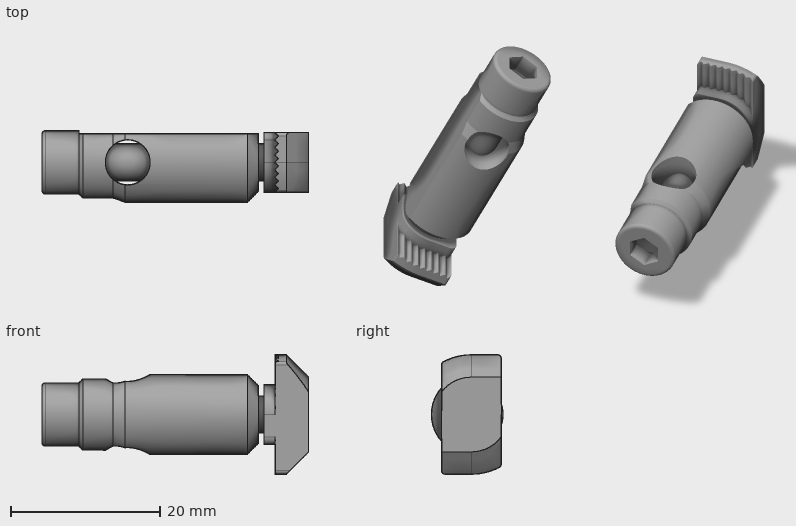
import cadquery as cq
import math

length = 35.7
screw_head_radius = 4.25
screw_head_length = 5.0
screw_head_round = 0.5
shank_radius = 2.5
socket_width = 4.0
socket_depth = 2.5
socket_tip_angle = 118.0

collar_radius = 4.8
collar_chamfer = 0.5
body_radius = 5.35
step_start = 9.5
step_end = 11.15
sleeve_end = 29.0
sleeve_end_chamfer = 1.5
sleeve_flat_y = 3.85

cross_hole_x = 11.5
cross_hole_diameter = 6.0

nut_width = 8.0
nut_height = 2 * nut_width
boss_start = 29.7
head_start = 31.2
boss_length = head_start - boss_start
nut_chamfer = 3.0
boss_corner_round = 1.0
head_corner_round = 0.5
tooth_pitch = 1.0
tooth_crest_width = 0.1
groove_width = tooth_pitch - tooth_crest_width
tooth_depth = groove_width / 2
tooth_count = 8


def make_screw():
    """Round-edged head and the shank that runs through the sleeve into the boss."""
    head = cq.Workplane("YZ").circle(screw_head_radius).extrude(screw_head_length)
    head = head.faces("<X").edges().fillet(screw_head_round)
    shank = cq.Workplane("YZ").circle(shank_radius).extrude(head_start)
    return head.union(shank)


def make_socket():
    """Hexagon with two corners on the Z axis, ending in a drill-point cone."""
    corner_diameter = socket_width / math.cos(math.pi / 6)
    hexagon = (
        cq.Workplane("YZ")
        .transformed(rotate=(0, 0, 90))
        .polygon(6, corner_diameter)
        .extrude(socket_depth)
    )
    tip_radius = socket_width / 2
    tip_depth = tip_radius / math.tan(math.radians(socket_tip_angle / 2))
    tip = cq.Solid.makeCone(
        tip_radius, 0, tip_depth, cq.Vector(socket_depth, 0, 0), cq.Vector(1, 0, 0)
    )
    return hexagon.union(cq.Workplane(tip))


def make_sleeve():
    """Turned outline, cut flat on the +Y side and pierced along Z."""
    profile = [
        (screw_head_length, 0),
        (screw_head_length, collar_radius - collar_chamfer),
        (screw_head_length + collar_chamfer, collar_radius),
        (step_start, collar_radius),
        (step_end, body_radius),
        (sleeve_end - sleeve_end_chamfer, body_radius),
        (sleeve_end, body_radius - sleeve_end_chamfer),
        (sleeve_end, 0),
    ]
    sleeve = cq.Workplane("XY").polyline(profile).close().revolve(360, (0, 0), (1, 0))
    beyond_flat = cq.Workplane("XY", origin=(0, sleeve_flat_y, 0)).box(
        length, body_radius, 2 * body_radius, centered=(False, False, True)
    )
    cross_hole = cq.Workplane("XY").center(cross_hole_x, 0).circle(cross_hole_diameter / 2)
    return sleeve.cut(beyond_flat).cut(cross_hole.extrude(body_radius, both=True))


def make_boss():
    """Two opposite quarters are round, the other two are square with a small corner round."""
    radius = nut_width / 2
    boss = cq.Workplane("YZ", origin=(boss_start, 0, 0)).circle(radius)
    boss = boss.extrude(boss_length)
    for side, corner_edge in ((1, ">(0,1,1)"), (-1, "<(0,1,1)")):
        corner = (
            cq.Workplane("YZ", origin=(boss_start, 0, 0))
            .rect(side * radius, side * radius, centered=False)
            .extrude(boss_length)
        )
        corner = corner.edges("|X").edges(corner_edge).fillet(boss_corner_round)
        boss = boss.union(corner)
    return boss


def make_head():
    """Two opposite quarters are planar and two are turned about the X axis."""
    half_width = nut_width / 2
    half_height = nut_height / 2
    profile = [
        (head_start, 0),
        (head_start, half_height),
        (length - nut_chamfer, half_height),
        (length, half_height - nut_chamfer),
        (length, 0),
    ]
    planar = cq.Workplane("XZ").polyline(profile).close().extrude(-half_width)
    turned = cq.Workplane("XZ").polyline(profile).close().revolve(90, (0, 0), (1, 0))
    width_limit = cq.Workplane("XY").box(
        length, nut_width, nut_height, centered=(False, True, True)
    )
    half = planar.union(turned).intersect(width_limit)
    head = half.union(half.rotate((0, 0, 0), (1, 0, 0), 180))
    return head.edges("|X").fillet(head_corner_round)


def make_tooth_grooves():
    """V grooves along Z, leaving narrow flat crests between them."""
    grooves = cq.Workplane("XY")
    for index in range(tooth_count):
        y = (index - (tooth_count - 1) / 2) * tooth_pitch
        groove = (
            cq.Workplane("XY", origin=(head_start, y, 0))
            .polyline([(0, -groove_width / 2), (tooth_depth, 0), (0, groove_width / 2)])
            .close()
            .extrude(nut_height, both=True)
        )
        grooves = grooves.add(groove)
    return grooves.combine()


screw = make_screw().cut(make_socket())
boss = make_boss()
head = make_head()
boss_footprint = boss.translate((boss_length, 0, 0))
nut = head.union(boss).clean().cut(make_tooth_grooves().cut(boss_footprint))
result = screw.union(make_sleeve()).union(nut)